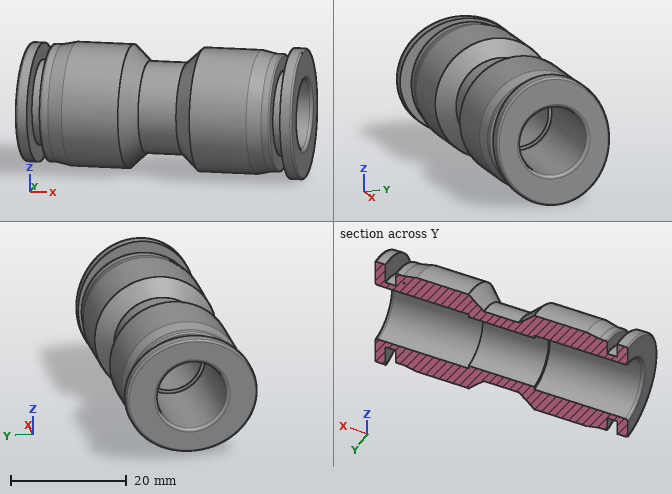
import cadquery as cq

length = 48.6
half_length = length / 2

flange_thickness = 2.05
body_inset = 3.95
rim_inset = 5.45
taper_inset = 7.95
shoulder_inset = 18.0
neck_inset = 20.95

collar_diameter = 14.8
rim_diameter = 20.4
body_diameter = 21.5
neck_diameter = 16.0
bore_diameter = 11.0
socket_diameter = 12.2

flange_major = 23.0
flange_minor = 20.55
left_flange_angle = 0.0
right_flange_angle = 100.0

rim_round = 0.3
flange_round = 0.35
mouth_round = 0.55


def cylinder_along_x(diameter, start, end):
    return cq.Workplane("YZ").workplane(offset=start).circle(diameter / 2).extrude(end - start)


def make_body():
    half_profile = [
        (half_length - body_inset, rim_diameter / 2),
        (half_length - rim_inset, rim_diameter / 2),
        (half_length - taper_inset, body_diameter / 2),
        (half_length - shoulder_inset, body_diameter / 2),
        (half_length - neck_inset, neck_diameter / 2),
    ]
    left_profile = [(-x, radius) for x, radius in half_profile]
    right_profile = half_profile[::-1]
    axis_points = [(half_length - body_inset, 0), (body_inset - half_length, 0)]
    profile = cq.Workplane("XY").polyline(left_profile + right_profile + axis_points).close()
    body = profile.revolve(360, (0, 0, 0), (1, 0, 0))
    return body.faces("<X or >X").edges().fillet(rim_round)


def make_right_flange(angle):
    """Oval disc at the +X end, rounded on its outer face; the angle turns its long axis from Y."""
    flange = (
        cq.Workplane("YZ")
        .workplane(offset=half_length - flange_thickness)
        .ellipse(flange_major / 2, flange_minor / 2)
        .extrude(flange_thickness)
        .faces(">X")
        .edges()
        .fillet(flange_round)
    )
    return flange.rotate((0, 0, 0), (1, 0, 0), angle)


collars = cylinder_along_x(collar_diameter, -half_length, half_length)
left_flange = make_right_flange(left_flange_angle).mirror("YZ")
right_flange = make_right_flange(right_flange_angle)
result = make_body().union(collars).union(left_flange).union(right_flange)

socket_end = half_length - shoulder_inset
result = result.cut(cylinder_along_x(bore_diameter, -half_length, half_length))
result = result.cut(cylinder_along_x(socket_diameter, -half_length, -socket_end))
result = result.cut(cylinder_along_x(socket_diameter, socket_end, half_length))
mouth_edges = cq.selectors.RadiusNthSelector(0)
for end_face in ("<X", ">X"):
    result = result.faces(end_face).edges("%CIRCLE").edges(mouth_edges).fillet(mouth_round)